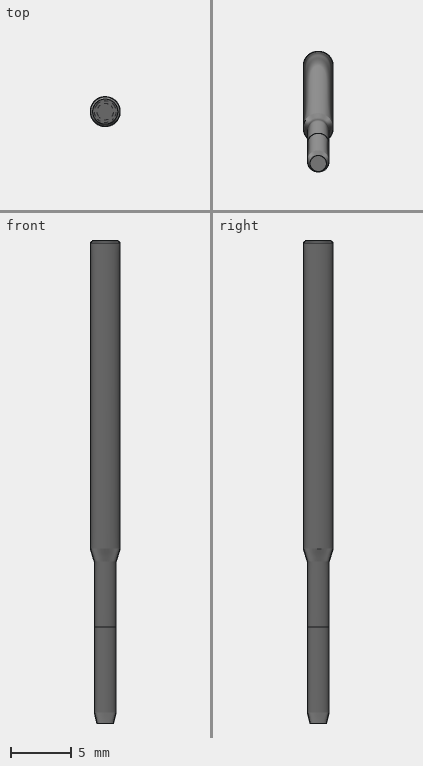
import cadquery as cq

total_length = 40.0
shank_diameter = 2.5
shank_chamfer = 0.2
neck_diameter = 1.8
tip_end_diameter = 1.35

tip_taper_height = 0.9
tip_length = 8.0
neck_top = 13.4
shank_bottom = 14.5

shank_radius = shank_diameter / 2
neck_radius = neck_diameter / 2
tip_end_radius = tip_end_diameter / 2


def revolve_about_z(profile):
    """Turn a half profile of (radius, height) points into a round solid."""
    axis_start = (0, 0)
    axis_end = (0, 1)
    return cq.Workplane("XZ").polyline(profile).close().revolve(360, axis_start, axis_end)


def make_tip():
    """Straight pin with a tapered lower end."""
    return revolve_about_z([
        (0, 0),
        (tip_end_radius, 0),
        (neck_radius, tip_taper_height),
        (neck_radius, tip_length),
        (0, tip_length),
    ])


def make_shank():
    """Neck that widens through a cone into the chamfered shank."""
    return revolve_about_z([
        (0, tip_length),
        (neck_radius, tip_length),
        (neck_radius, neck_top),
        (shank_radius, shank_bottom),
        (shank_radius, total_length - shank_chamfer),
        (shank_radius - shank_chamfer, total_length),
        (0, total_length),
    ])


tip = make_tip()
shank = make_shank()

result = cq.Compound.makeCompound([tip.val(), shank.val()])